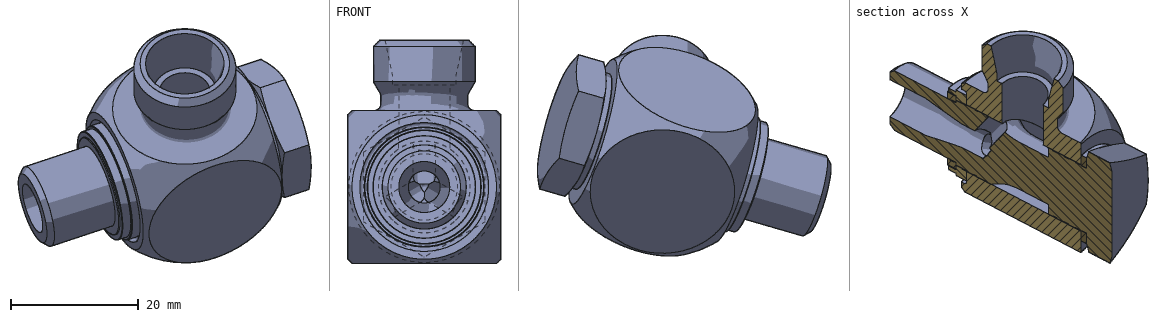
import cadquery as cq
import math


BLOCK_SIZE = 24.0
BLOCK_FRONT_Y = -BLOCK_SIZE / 2
BLOCK_BACK_Y = 11.5
BLOCK_SPHERE_R = 16.5
SHANK_BORE_D = 14.4

RECESS_D = 20.2
RECESS_DEPTH = 1.0
RECESS_FILLET = 0.5

BRANCH_TOP_Z = 23.0
BRANCH_D = 16.0
BRANCH_CHAMFER = 1.0
BRANCH_NECK_D = 13.7
BRANCH_ROOT_FILLET = 1.0
THREAD_END_Z = 16.5
RUNOUT_ANGLE = 30.0
RUNOUT_FILLET = 1.0
SEAT_MOUTH_D = 12.3
TUBE_D = 10.0
TUBE_DEPTH = 7.0
SEAT_HALF_ANGLE = 12.0
BRANCH_BORE_D = 8.0

HEX_ACROSS_FLATS = 19.0
HEX_THICKNESS = 5.0
HEX_CHAMFER_ANGLE = 15.0
HEX_CHAMFER_D = 18.9
HEX_BEVEL_MARGIN = 1.0
SHANK_D = 14.36
WAIST_D = 10.4
WAIST_BACK_Y = 5.0
WAIST_FRONT_Y = -0.65
FLARE_R = 8.0
FLARE_ANGLE = 20.5
PORT_SEAT_ANGLE = 30.0
STUD_D = 13.16
STUD_END_Y = -26.0
STUD_CHAMFER = 0.9

STUD_BORE_D = 8.0
STUD_BORE_END_Y = -19.0
STUD_BORE_TAPER = 12.0
PASSAGE_D = 5.0
DRILL_HALF_ANGLE = 59.0
PORT_D = 3.5
PORT_COUNT = 3
PORT_TILT = PORT_SEAT_ANGLE
PORT_AXIS_Y = -8.8
PASSAGE_OVERRUN = 2.6
PASSAGE_TIP_Y = PORT_AXIS_Y + PASSAGE_OVERRUN
PORT_LENGTH = 14.0

RING_EDGE_CHAMFER = 0.1
BACK_RING_D = 18.9
BACK_RING_THICKNESS = 1.0
FRONT_RING_D = 18.8
RING_STEP_Y = BLOCK_FRONT_Y - 1.1
RING_NOSE_D = 17.9
RING_NOSE_Y = -14.55
SEAL_POCKET_D = 16.1
SEAL_D = 16.0
SEAL_BORE_D = 13.2
SEAL_BACK_Y = RING_STEP_Y
SEAL_FRONT_Y = -14.75

HEX_FRONT_Y = BLOCK_BACK_Y + BACK_RING_THICKNESS
HEX_BACK_Y = HEX_FRONT_Y + HEX_THICKNESS
RECESS_FLOOR_Y = BLOCK_FRONT_Y + RECESS_DEPTH


def turn(profile):
    """Close a profile and revolve it about its local vertical axis (Y in XY, Z in XZ)."""
    return profile.close().revolve(360, (0, 0, 0), (0, 1, 0))


def tube_y(outer_d, bore_d, start_y, end_y):
    """A plain ring on the Y axis."""
    outline = (
        cq.Workplane("XY")
        .moveTo(bore_d / 2, start_y)
        .lineTo(outer_d / 2, start_y)
        .lineTo(outer_d / 2, end_y)
        .lineTo(bore_d / 2, end_y)
    )
    return turn(outline)


def bevel_front_rim(ring):
    """Bevel the outer edge of a ring's -Y face."""
    rim = ring.faces("<Y").edges(cq.selectors.RadiusNthSelector(-1))
    return rim.chamfer(RING_EDGE_CHAMFER)


def make_block():
    length = BLOCK_BACK_Y - BLOCK_FRONT_Y
    mid_y = (BLOCK_BACK_Y + BLOCK_FRONT_Y) / 2
    block = cq.Workplane("XY").box(BLOCK_SIZE, length, BLOCK_SIZE).translate((0, mid_y, 0))
    return block.intersect(cq.Workplane("XY").sphere(BLOCK_SPHERE_R))


def make_branch():
    """Solid branch stub: root fillet, neck, thread run-out cone, thread and end chamfer."""
    r = BRANCH_D / 2
    neck_r = BRANCH_NECK_D / 2
    face_z = BLOCK_SIZE / 2
    root = BRANCH_ROOT_FILLET
    slope = math.radians(RUNOUT_ANGLE)
    corner_z = THREAD_END_Z - (r - neck_r) / math.tan(slope)
    tangent = RUNOUT_FILLET * math.tan(slope / 2)
    diagonal = math.sqrt(0.5)
    outline = (
        cq.Workplane("XZ")
        .lineTo(neck_r + root, 0)
        .lineTo(neck_r + root, face_z)
        .threePointArc(
            (neck_r + root * (1 - diagonal), face_z + root * (1 - diagonal)),
            (neck_r, face_z + root),
        )
        .lineTo(neck_r, corner_z - tangent)
        .threePointArc(
            (
                neck_r + RUNOUT_FILLET * (1 - math.cos(slope / 2)),
                corner_z - tangent + RUNOUT_FILLET * math.sin(slope / 2),
            ),
            (neck_r + tangent * math.sin(slope), corner_z + tangent * math.cos(slope)),
        )
        .lineTo(r, THREAD_END_Z)
        .lineTo(r, BRANCH_TOP_Z - BRANCH_CHAMFER)
        .lineTo(r - BRANCH_CHAMFER, BRANCH_TOP_Z)
        .lineTo(0, BRANCH_TOP_Z)
    )
    return turn(outline)


def make_branch_bore():
    """Cone seat, tube socket and through bore, down to the screw bore."""
    cone_depth = (SEAT_MOUTH_D - TUBE_D) / 2 / math.tan(math.radians(SEAT_HALF_ANGLE))
    socket_z = BRANCH_TOP_Z - TUBE_DEPTH
    outline = (
        cq.Workplane("XZ")
        .lineTo(BRANCH_BORE_D / 2, 0)
        .lineTo(BRANCH_BORE_D / 2, socket_z)
        .lineTo(TUBE_D / 2, socket_z)
        .lineTo(TUBE_D / 2, BRANCH_TOP_Z - cone_depth)
        .lineTo(SEAT_MOUTH_D / 2, BRANCH_TOP_Z)
        .lineTo(0, BRANCH_TOP_Z)
    )
    return turn(outline)


def make_ring_recess():
    """Counterbore for the front ring, with a rounded floor corner."""
    r = RECESS_D / 2
    fillet = RECESS_FILLET
    diagonal = math.sqrt(0.5)
    outline = (
        cq.Workplane("XY")
        .moveTo(0, BLOCK_FRONT_Y)
        .lineTo(r, BLOCK_FRONT_Y)
        .lineTo(r, RECESS_FLOOR_Y - fillet)
        .threePointArc(
            (r - fillet * (1 - diagonal), RECESS_FLOOR_Y - fillet * (1 - diagonal)),
            (r - fillet, RECESS_FLOOR_Y),
        )
        .lineTo(0, RECESS_FLOOR_Y)
    )
    return turn(outline)


def make_housing():
    shank_bore = (
        cq.Workplane("XZ", origin=(0, BLOCK_BACK_Y, 0))
        .circle(SHANK_BORE_D / 2)
        .extrude(BLOCK_BACK_Y - BLOCK_FRONT_Y)
    )
    return (
        make_block()
        .union(make_branch())
        .cut(make_branch_bore())
        .cut(shank_bore)
        .cut(make_ring_recess())
    )


def make_hex_head():
    """Hexagon with flats across X, its corners bevelled on both faces."""
    across_corners = HEX_ACROSS_FLATS / math.cos(math.radians(30))
    hexagon = (
        cq.Workplane("XZ", origin=(0, HEX_BACK_Y, 0))
        .polygon(6, across_corners)
        .extrude(HEX_THICKNESS)
        .rotate((0, 0, 0), (0, 1, 0), 30)
    )
    face_r = HEX_CHAMFER_D / 2
    outer_r = across_corners / 2 + HEX_BEVEL_MARGIN
    drop = (outer_r - face_r) * math.tan(math.radians(HEX_CHAMFER_ANGLE))
    bevel = (
        cq.Workplane("XY")
        .moveTo(0, HEX_FRONT_Y)
        .lineTo(face_r, HEX_FRONT_Y)
        .lineTo(outer_r, HEX_FRONT_Y + drop)
        .lineTo(outer_r, HEX_BACK_Y - drop)
        .lineTo(face_r, HEX_BACK_Y)
        .lineTo(0, HEX_BACK_Y)
    )
    return hexagon.intersect(turn(bevel))


def make_shank():
    """Turned shank: land under the hex, waist, flare, cone with the port mouths, land and stud."""
    shank_r = SHANK_D / 2
    waist_r = WAIST_D / 2
    stud_r = STUD_D / 2
    full = math.radians(FLARE_ANGLE)
    half = full / 2
    flare_r = waist_r + FLARE_R * (1 - math.cos(full))
    flare_y = WAIST_FRONT_Y - FLARE_R * math.sin(full)
    cone_end_y = flare_y - (shank_r - flare_r) / math.tan(math.radians(PORT_SEAT_ANGLE))
    outline = (
        cq.Workplane("XY")
        .moveTo(0, HEX_FRONT_Y)
        .lineTo(shank_r, HEX_FRONT_Y)
        .lineTo(shank_r, WAIST_BACK_Y)
        .lineTo(waist_r, WAIST_BACK_Y)
        .lineTo(waist_r, WAIST_FRONT_Y)
        .threePointArc(
            (waist_r + FLARE_R * (1 - math.cos(half)), WAIST_FRONT_Y - FLARE_R * math.sin(half)),
            (flare_r, flare_y),
        )
        .lineTo(shank_r, cone_end_y)
        .lineTo(shank_r, SEAL_BACK_Y)
        .lineTo(stud_r, SEAL_BACK_Y)
        .lineTo(stud_r, STUD_END_Y + STUD_CHAMFER)
        .lineTo(stud_r - STUD_CHAMFER, STUD_END_Y)
        .lineTo(0, STUD_END_Y)
    )
    return turn(outline)


def make_screw_bore():
    """Stepped blind bore from the stud end: a tapered step, then a drill-point tip."""
    bore_r = STUD_BORE_D / 2
    passage_r = PASSAGE_D / 2
    slope = math.tan(math.radians(DRILL_HALF_ANGLE))
    taper = math.tan(math.radians(STUD_BORE_TAPER))
    outline = (
        cq.Workplane("XY")
        .moveTo(0, STUD_END_Y)
        .lineTo(bore_r, STUD_END_Y)
        .lineTo(bore_r, STUD_BORE_END_Y)
        .lineTo(passage_r, STUD_BORE_END_Y + (bore_r - passage_r) / taper)
        .lineTo(passage_r, PASSAGE_TIP_Y - passage_r / slope)
        .lineTo(0, PASSAGE_TIP_Y)
    )
    return turn(outline)


def make_port(index):
    """One slanted port from the passage out to the cone beside the waist."""
    port = cq.Workplane("XY").circle(PORT_D / 2).extrude(PORT_LENGTH)
    port = port.rotate((0, 0, 0), (1, 0, 0), -PORT_TILT).translate((0, PORT_AXIS_Y, 0))
    return port.rotate((0, 0, 0), (0, 1, 0), index * 360 / PORT_COUNT)


def make_screw():
    screw = make_hex_head().union(make_shank()).cut(make_screw_bore())
    for index in range(PORT_COUNT):
        screw = screw.cut(make_port(index))
    return screw


def make_back_ring():
    ring = tube_y(BACK_RING_D, SHANK_BORE_D, BLOCK_BACK_Y, HEX_FRONT_Y)
    return bevel_front_rim(ring)


def make_front_ring():
    """Stepped ring seated in the housing recess, with a pocket for the soft seal."""
    base = tube_y(FRONT_RING_D, SHANK_BORE_D, RECESS_FLOOR_Y, RING_STEP_Y)
    nose = tube_y(RING_NOSE_D, SEAL_POCKET_D, RING_STEP_Y, RING_NOSE_Y)
    return bevel_front_rim(base).union(bevel_front_rim(nose))


def make_seal():
    return tube_y(SEAL_D, SEAL_BORE_D, SEAL_BACK_Y, SEAL_FRONT_Y)


housing = make_housing()
screw = make_screw()
back_ring = make_back_ring()
front_ring = make_front_ring()
seal = make_seal()

result = cq.Compound.makeCompound(
    [housing.val(), screw.val(), back_ring.val(), front_ring.val(), seal.val()]
)